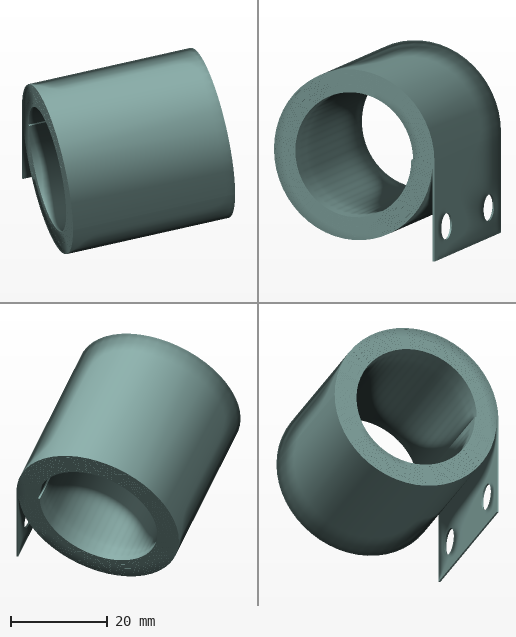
import cadquery as cq

coil_diameter = 36.0
strip_width = 35.0
overall_height = 39.0

strip_thickness = 0.4
turn_gap = 0.01
turn_count = 12
pitch = strip_thickness + turn_gap

hole_diameter = 5.55
hole_spacing = 22.23
hole_height = 6.3

outer_radius = coil_diameter / 2
tail_length = overall_height - outer_radius
first_top_radius = outer_radius - (turn_count - 1) * pitch
tail_outer_x = -outer_radius
tail_inner_x = tail_outer_x + strip_thickness

lower_center_x = pitch / 2


def add_half_turn(profile, center_x, radius, z_sign, x_direction):
    """Add a semicircle above or below z = 0, travelling along x_direction."""
    middle = (center_x, z_sign * radius)
    end = (center_x + x_direction * radius, 0)
    return profile.threePointArc(middle, end)


def add_lower_half(profile, top_radius, x_direction):
    return add_half_turn(profile, lower_center_x, top_radius - lower_center_x, -1, x_direction)


def add_upper_half(profile, top_radius, x_direction):
    return add_half_turn(profile, 0, top_radius, 1, x_direction)


def make_strip():
    """Extrude the spiral strip with its straight tail along Y."""
    outer_start_x = pitch - first_top_radius
    profile = cq.Workplane("XZ").moveTo(outer_start_x, 0)

    for turn in range(turn_count):
        radius = first_top_radius + turn * pitch
        profile = add_lower_half(profile, radius, 1)
        profile = add_upper_half(profile, radius, -1)

    profile = profile.lineTo(tail_outer_x, -tail_length)
    profile = profile.lineTo(tail_inner_x, -tail_length)
    profile = profile.lineTo(tail_inner_x, 0)

    for turn in reversed(range(turn_count)):
        radius = first_top_radius + turn * pitch - strip_thickness
        profile = add_upper_half(profile, radius, 1)
        profile = add_lower_half(profile, radius, -1)

    return profile.close().extrude(strip_width / 2, both=True)


def make_tail_holes():
    """Cylinders along X that pass through the tail and stop short of the coil."""
    hole_z = hole_height - tail_length
    return (
        cq.Workplane("YZ", origin=(tail_outer_x - strip_thickness, 0, hole_z))
        .pushPoints([(-hole_spacing / 2, 0), (hole_spacing / 2, 0)])
        .circle(hole_diameter / 2)
        .extrude(3 * strip_thickness)
    )


result = make_strip().cut(make_tail_holes())